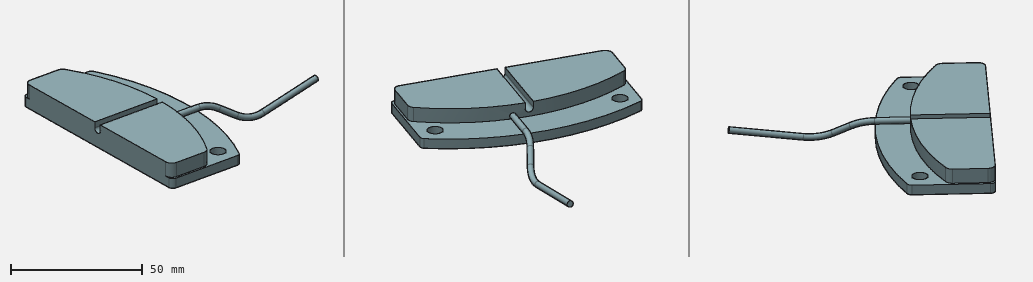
import cadquery as cq
import math

plate_width = 90.0
plate_height = 43.8
plate_thickness = 4.2
plate_arc_radius = 100.0
plate_corner_radius = 2.0
hole_diameter = 6.2
hole_spacing = 75.0
hole_y = 28.5

pad_width = 88.2
pad_height = 30.4
pad_thickness = 6.1
pad_arc_radius = 85.1
pad_corner_radius = 3.0
groove_width = 3.3
groove_depth = 4.2

cable_diameter = 2.6
cable_bend_radius = 14.9
cable_embedded_length = 2.0
cable_x = 6.6
cable_axis_z = plate_thickness + cable_diameter / 2
cable_start = cq.Vector(cable_x, pad_height - cable_embedded_length, cable_axis_z)
first_corner = cq.Vector(cable_x, 48.6, cable_axis_z)
second_corner = cq.Vector(12.4, 64.5, -4.5)
cable_end = cq.Vector(9.4, 99.1, 1.4)


def arched_slab(width, height, thickness, arc_radius, corner_radius):
    """Slab with a straight lower edge, an arched upper edge and rounded corners."""
    half_width = width / 2
    arch_rise = arc_radius - math.sqrt(arc_radius**2 - half_width**2)
    side_height = height - arch_rise
    return (
        cq.Workplane("XY")
        .moveTo(-half_width, 0)
        .lineTo(half_width, 0)
        .lineTo(half_width, side_height)
        .threePointArc((0, height), (-half_width, side_height))
        .close()
        .extrude(thickness)
        .edges("|Z")
        .fillet(corner_radius)
    )


def make_plate():
    plate = arched_slab(plate_width, plate_height, plate_thickness, plate_arc_radius, plate_corner_radius)
    holes = (
        cq.Workplane("XY")
        .pushPoints([(-hole_spacing / 2, hole_y), (hole_spacing / 2, hole_y)])
        .circle(hole_diameter / 2)
        .extrude(plate_thickness)
    )
    return plate.cut(holes)


def make_pad():
    pad = arched_slab(pad_width, pad_height, pad_thickness, pad_arc_radius, pad_corner_radius)
    groove_radius = groove_width / 2
    groove_bottom = pad_thickness - groove_depth
    groove = (
        cq.Workplane("XZ")
        .moveTo(-groove_radius, pad_thickness)
        .lineTo(-groove_radius, groove_bottom + groove_radius)
        .threePointArc((0, groove_bottom), (groove_radius, groove_bottom + groove_radius))
        .lineTo(groove_radius, pad_thickness)
        .close()
        .extrude(-pad_height)
    )
    return pad.cut(groove).translate((0, 0, plate_thickness))


def bend_points(before, corner, after):
    """Start, middle and end of the arc that rounds a corner of the cable path."""
    to_before = (before - corner).normalized()
    to_after = (after - corner).normalized()
    half_angle = to_before.getAngle(to_after) / 2
    tangent_length = cable_bend_radius / math.tan(half_angle)
    middle_distance = cable_bend_radius / math.sin(half_angle) - cable_bend_radius
    return (
        corner + to_before * tangent_length,
        corner + (to_before + to_after).normalized() * middle_distance,
        corner + to_after * tangent_length,
    )


def make_cable():
    first_bend = bend_points(cable_start, first_corner, second_corner)
    second_bend = bend_points(first_corner, second_corner, cable_end)
    path = cq.Wire.assembleEdges([
        cq.Edge.makeLine(cable_start, first_bend[0]),
        cq.Edge.makeThreePointArc(*first_bend),
        cq.Edge.makeLine(first_bend[2], second_bend[0]),
        cq.Edge.makeThreePointArc(*second_bend),
        cq.Edge.makeLine(second_bend[2], cable_end),
    ])
    return (
        cq.Workplane("XZ", origin=cable_start.toTuple())
        .circle(cable_diameter / 2)
        .sweep(cq.Workplane(path))
    )


result = make_plate().union(make_pad()).union(make_cable())